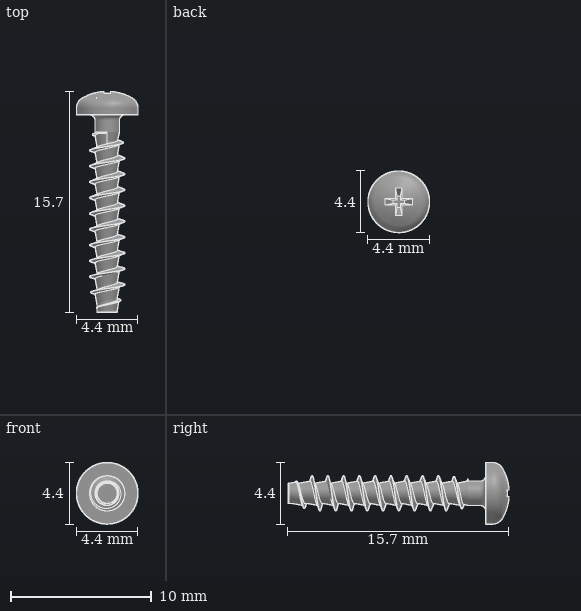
import cadquery as cq
import math


head_radius = 2.2
head_height = 1.7
head_rim_height = 0.47
dome_radius = 3.5
dome_edge_angle = math.radians(30)
bearing_edge_chamfer = 0.03

recess_depth = 1.1
recess_top_length = 2.1
recess_bottom_length = 0.8
recess_top_width = 0.48
recess_bottom_width = 0.24

shank_radius = 0.875
shank_length = 1.22
neck_fillet = 0.37
screw_length = 14.0
core_radius = 0.73
neck_cone_length = 0.65
tip_bevel_length = 0.04
tip_end_radius = 0.71

pitch = 1.12
crest_radius = 1.25
crest_width = 0.025
flank_angle = math.radians(20)
reference_depth = 2.23
first_turn = -1.0
last_turn = 10.35
start_crest_depth = shank_length + 0.03
run_in_turn = 0.25
run_in_slope = 0.2
run_out_turn = 9.05
run_out_slope = 0.4

root_radius = 0.87
band_undercut = 0.003
band_end_radius = core_radius - band_undercut
band_fade_turn = 9.5
band_fade_slope = 0.14

buried_radius = 0.71
envelope_radius = 1.5
turn_gap = 0.01
points_per_turn = 16


def make_body():
    """Head, neck fillet, shank, core and tip as one revolved outline (radius, y)."""
    dome_center_y = head_height - dome_radius

    def dome_point(angle):
        return dome_radius * math.sin(angle), dome_center_y + dome_radius * math.cos(angle)

    dome_edge = dome_point(dome_edge_angle)
    rim_arc_radius = (dome_edge[1] - head_rim_height) / math.cos(dome_edge_angle)
    rim_middle_angle = (dome_edge_angle + math.pi / 2) / 2
    rim_middle = (
        head_radius - rim_arc_radius * (1 - math.sin(rim_middle_angle)),
        head_rim_height + rim_arc_radius * math.cos(rim_middle_angle),
    )
    fillet_inset = neck_fillet * (1 - math.sqrt(0.5))
    outline = (
        cq.Workplane("XY")
        .moveTo(0, head_height)
        .threePointArc(dome_point(dome_edge_angle / 2), dome_edge)
        .threePointArc(rim_middle, (head_radius, head_rim_height))
        .lineTo(head_radius, bearing_edge_chamfer)
        .lineTo(head_radius - bearing_edge_chamfer, 0)
        .lineTo(shank_radius + neck_fillet, 0)
        .threePointArc(
            (shank_radius + fillet_inset, -fillet_inset),
            (shank_radius, -neck_fillet),
        )
        .lineTo(shank_radius, -shank_length)
        .lineTo(core_radius, -shank_length - neck_cone_length)
        .lineTo(core_radius, -screw_length + tip_bevel_length)
        .lineTo(tip_end_radius, -screw_length)
        .lineTo(0, -screw_length)
        .close()
    )
    return outline.revolve(360, (0, 0, 0), (0, 1, 0))


def flank_reach(crest, radius):
    """Distance along the axis from the blade middle to its flank at a radius."""
    return crest_width / 2 + (crest - radius) * math.tan(flank_angle)


def thread_section(turn):
    """Corners (radius, depth) of the thread blade and the band behind it at a turn."""
    run_in_loss = run_in_slope * max(0, run_in_turn - turn)
    run_out_loss = run_out_slope * max(0, turn - run_out_turn)
    crest = crest_radius - run_in_loss - run_out_loss
    fade_loss = band_fade_slope * max(0, turn - band_fade_turn)
    root = min(root_radius - fade_loss, crest - crest_width)
    band_end = band_end_radius - fade_loss
    buried = buried_radius - fade_loss

    helix_depth = reference_depth + pitch * turn
    crest_depth = max(helix_depth, start_crest_depth)
    band_end_depth = helix_depth + pitch - flank_reach(crest_radius, buried_radius) - turn_gap
    return [
        (buried, crest_depth - flank_reach(crest, buried)),
        (crest, crest_depth - crest_width / 2),
        (crest, crest_depth + crest_width / 2),
        (root, crest_depth + flank_reach(crest, root)),
        (band_end, band_end_depth),
        (buried, band_end_depth),
    ]


def helix_point(turn, radius, depth):
    """Point at a turn angle that starts on +Z and runs towards -X."""
    angle = 2 * math.pi * turn
    return cq.Vector(-radius * math.sin(angle), -depth, radius * math.cos(angle))


def make_thread():
    """Thread skinned with ruled faces between the curves traced by the section corners."""
    turn_count = last_turn - first_turn
    steps = round(turn_count * points_per_turn)
    sections = []
    for step in range(steps + 1):
        turn = first_turn + turn_count * step / steps
        corners = thread_section(turn)
        sections.append([helix_point(turn, radius, depth) for radius, depth in corners])

    corner_curves = [cq.Edge.makeSpline(list(points)) for points in zip(*sections)]
    next_curves = corner_curves[1:] + corner_curves[:1]
    faces = [cq.Face.makeRuledSurface(a, b) for a, b in zip(corner_curves, next_curves)]
    for section in (sections[0], sections[-1]):
        faces.append(cq.Face.makeFromWires(cq.Wire.makePolygon(section, close=True)))
    thread = cq.Solid.makeSolid(cq.Shell.makeShell(faces))
    return cq.Workplane(obj=thread.fix()).intersect(make_thread_envelope())


def make_thread_envelope():
    """Space the thread may fill: from the shank end to the tip, bevelled at the tip."""
    return (
        cq.Workplane("XZ", origin=(0, -shank_length, 0))
        .circle(envelope_radius)
        .extrude(screw_length - shank_length)
        .faces("<Y")
        .chamfer(envelope_radius - tip_end_radius)
    )


def make_recess():
    """Cross recess: two crossed slots narrowing towards the bottom."""

    def slot(angle):
        return (
            cq.Workplane("XZ", origin=(0, head_height, 0))
            .rect(recess_top_length, recess_top_width)
            .workplane(offset=recess_depth)
            .rect(recess_bottom_length, recess_bottom_width)
            .loft(ruled=True)
            .rotate((0, 0, 0), (0, 1, 0), angle)
        )

    return slot(0).union(slot(90))


result = make_body().union(make_thread()).cut(make_recess())